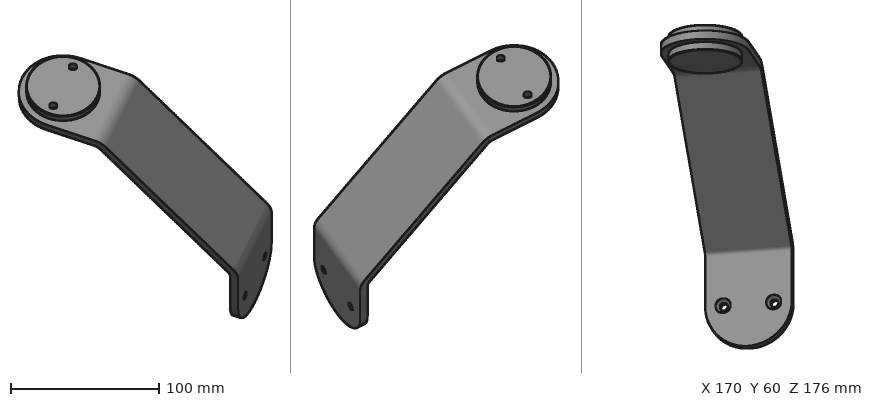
import cadquery as cq
import math

length = 170.0
height = 176.0
width = 60.0
thickness = 6.0

disc_diameter = 50.0
disc_height = 6.0
disc_chamfer = 0.5
pin_hole_diameter = 5.3

screw_hole_diameter = 5.5
countersink_diameter = 10.4
countersink_angle = 90.0

hole_spacing = 35.0

slope_angle = 45.0
upper_bend_start = 65.1
outer_bend_radius = 12.0
upper_inner_radius = 6.0
lower_inner_radius = 3.7

end_radius = width / 2
plate_top = height - disc_height
plate_bottom = plate_top - thickness
inner_wall = length - thickness

bend_setback = math.tan(math.radians(slope_angle / 2))
slope = math.tan(math.radians(slope_angle))
outer_corner_x = upper_bend_start + outer_bend_radius * bend_setback
inner_corner_x = outer_corner_x - thickness * bend_setback
outer_corner_z = plate_top - (length - outer_corner_x) * slope
inner_corner_z = plate_bottom - (inner_wall - inner_corner_x) * slope


def edge_near(x, z):
    """Selector for the bend edge that runs along Y through the given corner."""
    margin = 0.2
    low = (x - margin, -width, z - margin)
    high = (x + margin, width, z + margin)
    return cq.selectors.BoxSelector(low, high)


def bent_strip():
    """Strip of constant thickness, rounded inside and outside at both bends."""
    strip = (
        cq.Workplane("XZ")
        .moveTo(0, plate_top)
        .lineTo(outer_corner_x, plate_top)
        .lineTo(length, outer_corner_z)
        .lineTo(length, 0)
        .lineTo(inner_wall, 0)
        .lineTo(inner_wall, inner_corner_z)
        .lineTo(inner_corner_x, plate_bottom)
        .lineTo(0, plate_bottom)
        .close()
        .extrude(end_radius, both=True)
    )
    bends = (
        (outer_corner_x, plate_top, outer_bend_radius),
        (inner_corner_x, plate_bottom, upper_inner_radius),
        (length, outer_corner_z, outer_bend_radius),
        (inner_wall, inner_corner_z, lower_inner_radius),
    )
    for x, z, radius in bends:
        strip = strip.edges(edge_near(x, z)).fillet(radius)
    return strip


def round_ended_block(plane, reach, depth):
    """Block as wide as the strip, with a half-round end at the origin and a square far end."""
    return (
        cq.Workplane(plane)
        .moveTo(end_radius, end_radius)
        .lineTo(reach, end_radius)
        .lineTo(reach, -end_radius)
        .lineTo(end_radius, -end_radius)
        .threePointArc((0, 0), (end_radius, end_radius))
        .close()
        .extrude(depth)
    )


def disc(base_z):
    """Round pad on the tongue, chamfered on both rims."""
    return (
        cq.Workplane("XY", origin=(end_radius, 0, base_z))
        .circle(disc_diameter / 2)
        .extrude(disc_height)
        .edges()
        .chamfer(disc_chamfer)
    )


def pin_hole(y):
    """Blind hole from the top of the upper disc down to the tongue."""
    return (
        cq.Workplane("XY", origin=(end_radius, y, plate_top))
        .circle(pin_hole_diameter / 2)
        .extrude(disc_height)
    )


def screw_hole(y):
    """Through hole in the leg, countersunk on its inner face."""
    hole_radius = screw_hole_diameter / 2
    head_radius = countersink_diameter / 2
    head_depth = (head_radius - hole_radius) / math.tan(math.radians(countersink_angle / 2))
    return (
        cq.Workplane("XY", origin=(inner_wall, y, end_radius))
        .lineTo(0, head_radius)
        .lineTo(head_depth, hole_radius)
        .lineTo(thickness, hole_radius)
        .lineTo(thickness, 0)
        .close()
        .revolve(360, (0, 0), (1, 0))
    )


leg_plane = cq.Plane(origin=(0, 0, 0), xDir=(0, 0, 1), normal=(1, 0, 0))
tongue_block = round_ended_block("XY", length, height)
leg_block = round_ended_block(leg_plane, height, length)
bracket = bent_strip().intersect(tongue_block).intersect(leg_block)

result = bracket.union(disc(plate_top)).union(disc(plate_bottom - disc_height))

for hole_y in (-hole_spacing / 2, hole_spacing / 2):
    result = result.cut(pin_hole(hole_y)).cut(screw_hole(hole_y))